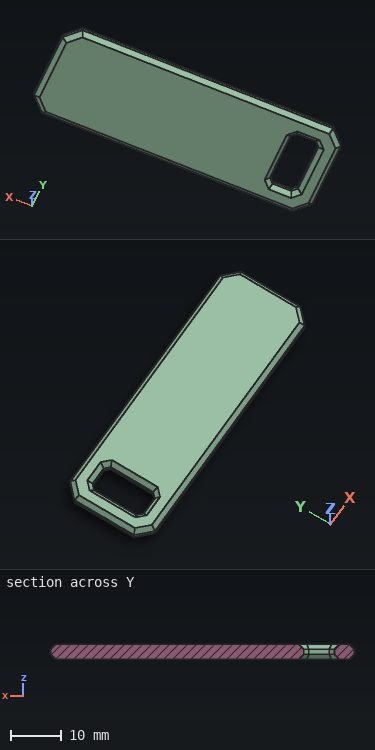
import cadquery as cq

plate_length = 60.0
plate_width = 20.0
plate_thickness = 3.0
corner_cut = 3.0
edge_chamfer = 1.0

slot_length = 6.0
slot_width = 12.0
slot_corner_cut = 1.0
slot_rim_margin = 3.0
slot_center_x = -plate_length / 2 + slot_rim_margin + edge_chamfer + slot_length / 2


def cut_corner_block(length, width, corner):
    """Block of plate thickness, standing on Z = 0, with its upright corners cut at 45 degrees."""
    block = cq.Workplane("XY").box(length, width, plate_thickness, centered=(True, True, False))
    return block.edges("|Z").chamfer(corner)


def cut_slot(plate):
    """Cut the through slot, leaving its walls upright."""
    slot = cut_corner_block(slot_length, slot_width, slot_corner_cut)
    return plate.cut(slot.translate((slot_center_x, 0, 0)))


def chamfer_outlines(plate):
    """Chamfer the outer and slot outlines on both the top and the bottom face."""
    return plate.faces("<Z or >Z").edges().chamfer(edge_chamfer)


plate = cut_corner_block(plate_length, plate_width, corner_cut)
result = chamfer_outlines(cut_slot(plate))